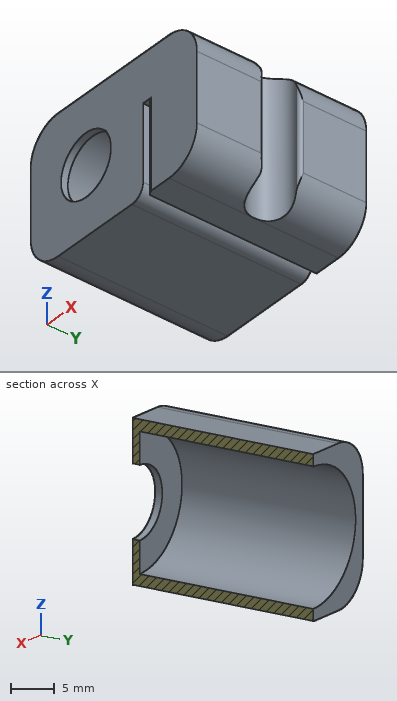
import cadquery as cq

length = 30.0
depth = 25.0
height = 20.0
corner_radius = 5.0

bore_x = 10.0
bore_z = height / 2
lip_diameter = 9.0
lip_depth = 1.0
bore_diameter = 17.0

slot_left = 20.3
slot_width = 0.7
slot_top = 13.0
slot_mouth_radius = 2.0
slot_bevel_width = 0.7
slot_bevel_depth = 0.3
slot_shoulder_step = 0.1
slot_shoulder_radius = 0.8
slot_right = slot_left + slot_width

notch_radius = 3.0
notch_x = 28.0
notch_y = depth / 2
notch_lip_radius = 0.5


def make_block():
    return (
        cq.Workplane("XY")
        .box(length, depth, height, centered=False)
        .edges("|Y")
        .fillet(corner_radius)
    )


def cylinder_along_y(diameter, start_y):
    """Cylinder on the bore axis, from start_y to the rear face."""
    return (
        cq.Workplane("XZ", origin=(bore_x, start_y, bore_z))
        .circle(diameter / 2)
        .extrude(start_y - depth)
    )


def make_bore():
    """Through bore, wide behind a thin narrower lip at the front face."""
    lip_opening = cylinder_along_y(lip_diameter, 0)
    main_bore = cylinder_along_y(bore_diameter, lip_depth)
    return lip_opening.union(main_bore)


def make_slot():
    """Slot with a bevelled right wall at the front and a rounded left lower edge."""
    bevel_x = slot_right + slot_shoulder_step
    shoulder_dx = slot_shoulder_radius - slot_shoulder_step
    shoulder_end_y = slot_bevel_depth + (slot_shoulder_radius**2 - shoulder_dx**2) ** 0.5
    slot = (
        cq.Workplane("XY")
        .moveTo(slot_left, 0)
        .lineTo(bevel_x + slot_bevel_width, 0)
        .lineTo(bevel_x, slot_bevel_depth)
        .radiusArc((slot_right, shoulder_end_y), slot_shoulder_radius)
        .lineTo(slot_right, depth)
        .lineTo(slot_left, depth)
        .close()
        .extrude(slot_top)
    )
    mouth = (
        cq.Workplane("XZ")
        .moveTo(slot_left - slot_mouth_radius, 0)
        .radiusArc((slot_left, slot_mouth_radius), -slot_mouth_radius)
        .lineTo(slot_left, 0)
        .close()
        .extrude(-depth)
    )
    return slot.union(mouth)


def make_notch():
    """Round notch whose two lips are rounded tangent to it and to the +X face."""
    lip_x = length - notch_lip_radius
    lip_reach = notch_radius + notch_lip_radius
    lip_dy = (lip_reach**2 - (lip_x - notch_x) ** 2) ** 0.5
    tangent_x = notch_x + (lip_x - notch_x) * notch_radius / lip_reach
    tangent_dy = lip_dy * notch_radius / lip_reach
    return (
        cq.Workplane("XY")
        .moveTo(length, notch_y - lip_dy)
        .radiusArc((tangent_x, notch_y - tangent_dy), -notch_lip_radius)
        .threePointArc((notch_x - notch_radius, notch_y), (tangent_x, notch_y + tangent_dy))
        .radiusArc((length, notch_y + lip_dy), -notch_lip_radius)
        .close()
        .extrude(height)
    )


result = make_block().cut(make_bore()).cut(make_slot()).cut(make_notch())